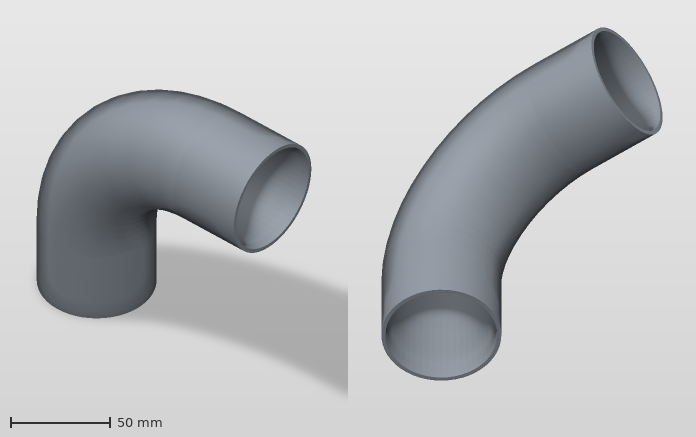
import cadquery as cq
import math

overall_size = 146.2
outer_diameter = 60.4
bore_diameter = 56.3
straight_length = 40.0

bend_radius = overall_size - straight_length - outer_diameter / 2

bend_start = (0, straight_length)
diagonal_offset = bend_radius * math.sqrt(0.5)
bend_middle = (bend_radius - diagonal_offset, straight_length + diagonal_offset)
bend_end = (bend_radius, straight_length + bend_radius)
outlet_end = (bend_radius + straight_length, straight_length + bend_radius)

centreline = (
    cq.Workplane("XZ")
    .lineTo(*bend_start)
    .threePointArc(bend_middle, bend_end)
    .lineTo(*outlet_end)
)

result = (
    cq.Workplane("XY")
    .circle(outer_diameter / 2)
    .circle(bore_diameter / 2)
    .sweep(centreline)
)